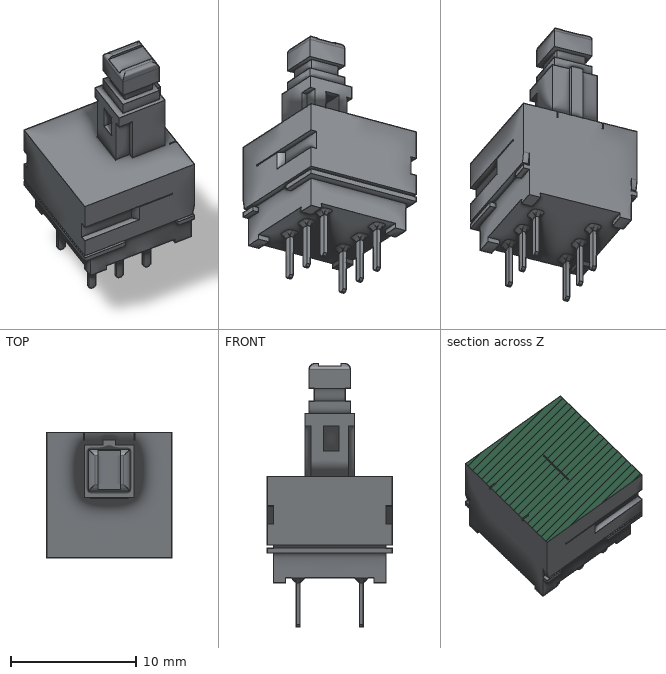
import cadquery as cq

TOTAL_HEIGHT = 21.0
HOUSING_SIDE = 10.0

PIN_ROOT_Z = 3.5
RECESS_Z = 3.9
FLANGE_BOTTOM_Z = 5.88
FLANGE_TOP_Z = 6.28
HOUSING_BOTTOM_Z = 6.5
HOUSING_TOP_Z = 12.0
SLEEVE_TOP_Z = 17.0
NECK_BOTTOM_Z = 18.0
NECK_TOP_Z = 19.0

BACK_Y = HOUSING_SIDE / 2
FRONT_Y = -HOUSING_SIDE / 2

BASE_WIDTH = 8.99
BASE_FRONT_Y = -4.22
FOOT_WIDTH = 0.99
FOOT_LENGTH = 1.5
BACK_FLANGE_LENGTH = 1.5
FRONT_FLANGE_LENGTH = 3.7

PIN_THICKNESS = 0.32
PIN_WIDTH = 0.6
PIN_TIP_CHAMFER = 0.19
PIN_PITCH = 2.5
PIN_ROW_X = 2.52
PIN_BACK_Y = 2.0
PINS_PER_ROW = 3
PIN_COLLAR_HEIGHT = RECESS_Z - PIN_ROOT_Z
PIN_COLLAR_TAPER = -45

SIDE_GROOVE_DEPTH = 0.5
SIDE_GROOVE_BOTTOM_Z = 8.2
SIDE_GROOVE_TOP_Z = 9.68
SIDE_GROOVE_END_Y = -0.02
SIDE_GROOVE_FLOOR_END_Y = -0.48
SIDE_SLIT_HEIGHT = 0.08
SIDE_SLIT_END_Y = 3.0
BACK_BEVEL_HEIGHT = 0.9
BACK_BEVEL_DEPTH = 0.19
TOP_SLIT_WIDTH = 0.08
TOP_SLIT_LENGTH = 0.59
TOP_SLIT_DEPTH = 0.5
TOP_SLIT_X = 2.0

SLEEVE_WIDTH = 3.95
SLEEVE_FRONT_Y = -0.2
SLEEVE_BACK_Y = 4.0
RIB_WIDTH = 0.99
RIB_HEIGHT = 0.42
CORNER_NOTCH_WIDTH = 0.46
CORNER_NOTCH_LENGTH = 1.24
NOTCH_TOP_Z = 16.0
WINDOW_LEFT_X = -0.5
WINDOW_WIDTH = 1.25
WINDOW_BOTTOM_Z = 14.0
WINDOW_DEPTH = 2.0
FRONT_GAP = 0.06
STEM_Y = 2.0
CAP_SIDE = 3.32
NECK_SIDE = 2.5
CAP_FILLET = 0.5
CAP_GROOVE_WIDTH = 1.76
CAP_GROOVE_DEPTH = 0.2


def block(x_range, y_range, z_range):
    """Axis-aligned box between the given limits."""
    (x0, x1), (y0, y1), (z0, z1) = x_range, y_range, z_range
    return cq.Workplane("XY").box(x1 - x0, y1 - y0, z1 - z0, centered=False).translate((x0, y0, z0))


def centred(width, middle=0.0):
    """Limits of a span of the given width about its middle."""
    return (middle - width / 2, middle + width / 2)


def make_base():
    """Base block with four corner feet, reaching up into the housing behind its back bevel."""
    base = block(
        centred(BASE_WIDTH), (BASE_FRONT_Y, BACK_Y), (RECESS_Z, HOUSING_BOTTOM_Z + BACK_BEVEL_HEIGHT)
    )
    foot_x = (BASE_WIDTH - FOOT_WIDTH) / 2
    for side in (-1, 1):
        for foot_front_y in (BASE_FRONT_Y, BACK_Y - FOOT_LENGTH):
            foot = block(
                centred(FOOT_WIDTH, side * foot_x),
                (foot_front_y, foot_front_y + FOOT_LENGTH),
                (PIN_ROOT_Z, RECESS_Z),
            )
            base = base.union(foot)
    return base


def make_flanges():
    """Thin flanges around the front and the back of the base."""
    flange_z = (FLANGE_BOTTOM_Z, FLANGE_TOP_Z)
    front = block(centred(HOUSING_SIDE), (FRONT_Y, FRONT_Y + FRONT_FLANGE_LENGTH), flange_z)
    back = block(centred(HOUSING_SIDE), (BACK_Y - BACK_FLANGE_LENGTH, BACK_Y), flange_z)
    return front.union(back)


def make_pin(x, y):
    """Flat pin with a chamfered tip and a collar that widens towards the base."""
    blade = (
        block(centred(PIN_THICKNESS, x), centred(PIN_WIDTH, y), (0, RECESS_Z))
        .faces("<Z")
        .edges("|X")
        .chamfer(PIN_TIP_CHAMFER)
    )
    collar = (
        cq.Workplane("XY", origin=(x, y, PIN_ROOT_Z))
        .rect(PIN_THICKNESS, PIN_WIDTH)
        .extrude(PIN_COLLAR_HEIGHT, taper=PIN_COLLAR_TAPER)
    )
    return blade.union(collar)


def make_side_groove():
    """Cutter for the -X side: a groove with a slanted end, and the slit that runs on from its top."""
    outer_x = -HOUSING_SIDE / 2
    floor_x = outer_x + SIDE_GROOVE_DEPTH
    groove = (
        cq.Workplane("XY", origin=(0, 0, SIDE_GROOVE_BOTTOM_Z))
        .polyline([
            (outer_x, FRONT_Y),
            (floor_x, FRONT_Y),
            (floor_x, SIDE_GROOVE_FLOOR_END_Y),
            (outer_x, SIDE_GROOVE_END_Y),
        ])
        .close()
        .extrude(SIDE_GROOVE_TOP_Z - SIDE_GROOVE_BOTTOM_Z)
    )
    slit = block(
        (outer_x, floor_x),
        (FRONT_Y, SIDE_SLIT_END_Y),
        (SIDE_GROOVE_TOP_Z - SIDE_SLIT_HEIGHT, SIDE_GROOVE_TOP_Z),
    )
    return groove.union(slit)


def make_housing():
    """Square housing with a bevelled lower back edge, side grooves and slits in its top."""
    housing = (
        cq.Workplane("YZ")
        .polyline([
            (FRONT_Y, HOUSING_BOTTOM_Z),
            (BACK_Y - BACK_BEVEL_DEPTH, HOUSING_BOTTOM_Z),
            (BACK_Y, HOUSING_BOTTOM_Z + BACK_BEVEL_HEIGHT),
            (BACK_Y, HOUSING_TOP_Z),
            (FRONT_Y, HOUSING_TOP_Z),
        ])
        .close()
        .extrude(HOUSING_SIDE / 2, both=True)
    )
    groove = make_side_groove()
    housing = housing.cut(groove).cut(groove.mirror("YZ"))

    top_slit_z = (HOUSING_TOP_Z - TOP_SLIT_DEPTH, HOUSING_TOP_Z)
    for side in (-1, 1):
        slit = block(
            centred(TOP_SLIT_WIDTH, side * TOP_SLIT_X), (BACK_Y - TOP_SLIT_LENGTH, BACK_Y), top_slit_z
        )
        housing = housing.cut(slit)

    gap_width = SLEEVE_WIDTH - 2 * CORNER_NOTCH_WIDTH
    front_gap = block(centred(gap_width), (SLEEVE_FRONT_Y - FRONT_GAP, SLEEVE_FRONT_Y), top_slit_z)
    return housing.cut(front_gap)


def make_sleeve():
    """Lower part of the plunger: back rib, notched front corners and a front window."""
    sleeve_z = (HOUSING_TOP_Z, SLEEVE_TOP_Z)
    sleeve = block(centred(SLEEVE_WIDTH), (SLEEVE_FRONT_Y, SLEEVE_BACK_Y), sleeve_z)
    rib = block(centred(RIB_WIDTH), (SLEEVE_BACK_Y, SLEEVE_BACK_Y + RIB_HEIGHT), sleeve_z)
    sleeve = sleeve.union(rib)

    notch_x = (SLEEVE_WIDTH - CORNER_NOTCH_WIDTH) / 2
    for side in (-1, 1):
        notch = block(
            centred(CORNER_NOTCH_WIDTH, side * notch_x),
            (SLEEVE_FRONT_Y, SLEEVE_FRONT_Y + CORNER_NOTCH_LENGTH),
            (HOUSING_TOP_Z, NOTCH_TOP_Z),
        )
        sleeve = sleeve.cut(notch)

    window = block(
        (WINDOW_LEFT_X, WINDOW_LEFT_X + WINDOW_WIDTH),
        (SLEEVE_FRONT_Y, SLEEVE_FRONT_Y + WINDOW_DEPTH),
        (WINDOW_BOTTOM_Z, NOTCH_TOP_Z),
    )
    return sleeve.cut(window)


def make_stem():
    """Upper part of the plunger: collar, neck and rounded cap with a groove across its top."""
    collar = block(centred(CAP_SIDE), centred(CAP_SIDE, STEM_Y), (SLEEVE_TOP_Z, NECK_BOTTOM_Z))
    neck = block(centred(NECK_SIDE), centred(NECK_SIDE, STEM_Y), (NECK_BOTTOM_Z, NECK_TOP_Z))
    cap = (
        block(centred(CAP_SIDE), centred(CAP_SIDE, STEM_Y), (NECK_TOP_Z, TOTAL_HEIGHT))
        .faces(">Z")
        .edges()
        .fillet(CAP_FILLET)
    )
    groove = block(
        centred(CAP_GROOVE_WIDTH),
        centred(CAP_SIDE, STEM_Y),
        (TOTAL_HEIGHT - CAP_GROOVE_DEPTH, TOTAL_HEIGHT),
    )
    return collar.union(neck).union(cap.cut(groove))


result = make_housing().union(make_base()).union(make_flanges()).union(make_sleeve()).union(make_stem())
for row_x in (-PIN_ROW_X, PIN_ROW_X):
    for index in range(PINS_PER_ROW):
        result = result.union(make_pin(row_x, PIN_BACK_Y - index * PIN_PITCH))